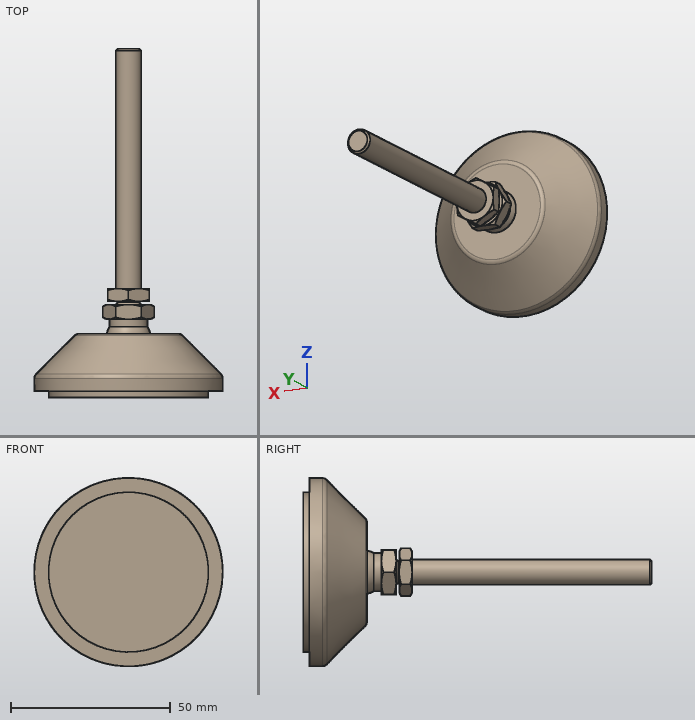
import cadquery as cq
import math

AXIS_START = (0, 0, 0)
AXIS_END = (0, 1, 0)

foot_diameter = 59.0
pad_diameter = 50.0
pad_height = 2.0
foot_height = 20.0
rim_top = 6.8
rim_fillet = 2.0
crown_fillet = 2.0
cone_angle = 45.0

ball_radius = 7.0
neck_diameter = 12.0
neck_bottom = 22.1
hex_bottom = 24.5
hex_top = 29.08
hex_flats = 14.0
rod_diameter = 8.0
rod_length = 80.0
rod_chamfer = 0.65
relief_diameter = 6.8
relief_taper = 0.7

nut_bottom = 30.08
nut_height = 4.0
nut_flats = 13.0

hex_chamfer_angle = 30.0

neck_radius = neck_diameter / 2
ball_center = neck_bottom - math.sqrt(ball_radius**2 - neck_radius**2)


def revolve_profile(profile):
    """Turn a closed XY profile one full round about the Y axis."""
    return profile.close().revolve(360, AXIS_START, AXIS_END)


def cylinder(diameter, bottom, top):
    """Round bar along Y between two heights."""
    return revolve_profile(
        cq.Workplane("XY")
        .moveTo(0, bottom)
        .lineTo(diameter / 2, bottom)
        .lineTo(diameter / 2, top)
        .lineTo(0, top)
    )


def ball():
    """Ball of the joint; the socket is cut with the same shape."""
    return revolve_profile(
        cq.Workplane("XY")
        .moveTo(0, ball_center - ball_radius)
        .threePointArc((ball_radius, ball_center), (0, ball_center + ball_radius))
    )


def chamfered_hexagon(flats, bottom, height, turn):
    """Hexagon along Y with its corners turned down to the flats at both ends."""
    corner_radius = flats / math.sqrt(3)
    flat_radius = flats / 2
    drop = (corner_radius - flat_radius) * math.tan(math.radians(hex_chamfer_angle))
    top = bottom + height
    prism = (
        cq.Workplane("XZ", origin=(0, bottom, 0))
        .polygon(6, 2 * corner_radius)
        .extrude(-height)
        .rotate(AXIS_START, AXIS_END, turn)
    )
    envelope = revolve_profile(
        cq.Workplane("XY")
        .moveTo(0, bottom)
        .lineTo(flat_radius, bottom)
        .lineTo(corner_radius, bottom + drop)
        .lineTo(corner_radius, top - drop)
        .lineTo(flat_radius, top)
        .lineTo(0, top)
    )
    return prism.intersect(envelope)


def build_foot():
    """Pad, rim and rounded cone, with the ball socket in the top."""
    rim_radius = foot_diameter / 2
    crown_radius = rim_radius - (foot_height - rim_top) / math.tan(math.radians(cone_angle))
    cone = revolve_profile(
        cq.Workplane("XY")
        .moveTo(0, pad_height)
        .lineTo(rim_radius, pad_height)
        .lineTo(rim_radius, rim_top)
        .lineTo(crown_radius, foot_height)
        .lineTo(0, foot_height)
    )
    cone = cone.edges(cq.selectors.RadiusNthSelector(-1)).edges(">Y").fillet(rim_fillet)
    cone = cone.edges(">Y").fillet(crown_fillet)
    pad = cylinder(pad_diameter, 0, pad_height)
    return cone.union(pad).cut(ball())


def build_spindle():
    """Ball, neck, hexagon and rod, with a relief groove above the hexagon."""
    rod_radius = rod_diameter / 2
    relief_radius = relief_diameter / 2
    tip = hex_top + rod_length
    neck = cylinder(neck_diameter, ball_center, hex_bottom)
    hexagon = chamfered_hexagon(hex_flats, hex_bottom, hex_top - hex_bottom, 0)
    rod = revolve_profile(
        cq.Workplane("XY")
        .moveTo(0, hex_top)
        .lineTo(rod_radius, hex_top)
        .lineTo(relief_radius, hex_top + relief_taper)
        .lineTo(relief_radius, nut_bottom)
        .lineTo(rod_radius, nut_bottom)
        .lineTo(rod_radius, tip - rod_chamfer)
        .lineTo(rod_radius - rod_chamfer, tip)
        .lineTo(0, tip)
    )
    return ball().union(neck).union(hexagon).union(rod)


def build_lock_nut():
    """Hexagon nut with its corners up and down, bored to fit the rod."""
    blank = chamfered_hexagon(nut_flats, nut_bottom, nut_height, 30)
    return blank.cut(cylinder(rod_diameter, nut_bottom, nut_bottom + nut_height))


foot = build_foot()
spindle = build_spindle()
lock_nut = build_lock_nut()

result = cq.Compound.makeCompound([foot.val(), spindle.val(), lock_nut.val()])